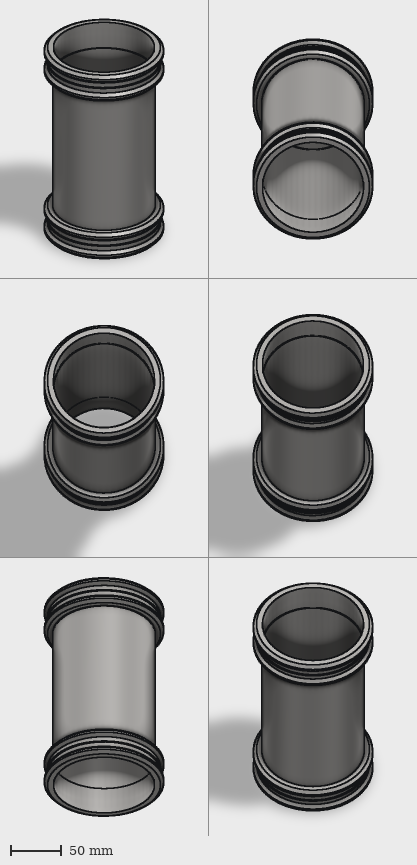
import cadquery as cq
import math

BORE_RADIUS = 100.0 / 2
TUBE_RADIUS = 101.8 / 2
GROOVE_RADIUS = 111.8 / 2
BEAD_RADIUS = 118.4 / 2
TUBE_LENGTH = 150.0
OVERALL_LENGTH = 208.8

COLLAR_LENGTH = (OVERALL_LENGTH - TUBE_LENGTH) / 2
BEAD_RISE = BEAD_RADIUS - GROOVE_RADIUS
BEAD_LAND = 2.4
BEAD_LENGTH = BEAD_LAND + 2 * BEAD_RISE
RIB_HEIGHT = 1.0
RIB_TIP_ANGLE = 60.0
RIB_HALF_WIDTH = RIB_HEIGHT * math.tan(math.radians(RIB_TIP_ANGLE / 2))
RIB_POSITION = COLLAR_LENGTH / 2


def bead_points(start):
    """Outline of a 45 degree bead, as (radius, distance from the end face)."""
    return [
        (GROOVE_RADIUS, start),
        (BEAD_RADIUS, start + BEAD_RISE),
        (BEAD_RADIUS, start + BEAD_RISE + BEAD_LAND),
        (GROOVE_RADIUS, start + BEAD_LENGTH),
    ]


def rib_points(middle):
    """Outline of the pointed rib around the groove floor."""
    return [
        (GROOVE_RADIUS, middle - RIB_HALF_WIDTH),
        (GROOVE_RADIUS + RIB_HEIGHT, middle),
        (GROOVE_RADIUS, middle + RIB_HALF_WIDTH),
    ]


def make_collar(end_z, inward):
    """Ring with its end face at end_z, running along the axis in direction inward (+1 or -1)."""
    outline = [(BORE_RADIUS, 0)]
    outline += bead_points(0)
    outline += rib_points(RIB_POSITION)
    outline += bead_points(COLLAR_LENGTH - BEAD_LENGTH)
    outline += [(BORE_RADIUS, COLLAR_LENGTH)]
    profile = [(radius, end_z + inward * distance) for radius, distance in outline]
    return cq.Workplane("XZ").polyline(profile).close().revolve(360, (0, 0, 0), (0, 1, 0))


def make_collared_tube():
    """Thin tube carrying the lower collar in one piece."""
    tube = (
        cq.Workplane("XY")
        .workplane(offset=COLLAR_LENGTH)
        .circle(TUBE_RADIUS)
        .circle(BORE_RADIUS)
        .extrude(TUBE_LENGTH)
    )
    return make_collar(0, 1).union(tube)


collared_tube = make_collared_tube()

upper_collar = make_collar(OVERALL_LENGTH, -1)

result = cq.Compound.makeCompound([collared_tube.val(), upper_collar.val()])